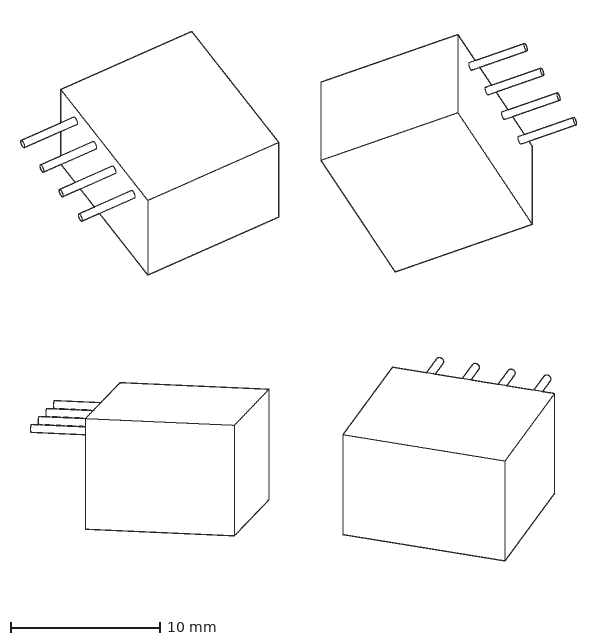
import cadquery as cq

body_width = 11.5
body_height = 7.6
overall_length = 14.31

pin_length = 4.1
pin_diameter = 0.55
pin_count = 4
pin_row_span = 7.61
pin_drop = 1.27

body_length = overall_length - pin_length
pin_pitch = pin_row_span / (pin_count - 1)
pin_z = body_height / 2 - pin_drop


def make_body():
    """Plain block centred on X and Z, with its pin face at Y = 0."""
    return cq.Workplane("XY").box(body_width, body_length, body_height, centered=(True, False, True))


def make_pin(x):
    """Round pin running from the pin face towards -Y."""
    return cq.Workplane("XZ").center(x, pin_z).circle(pin_diameter / 2).extrude(pin_length)


result = make_body()
for index in range(pin_count):
    result = result.union(make_pin(index * pin_pitch - pin_row_span / 2))